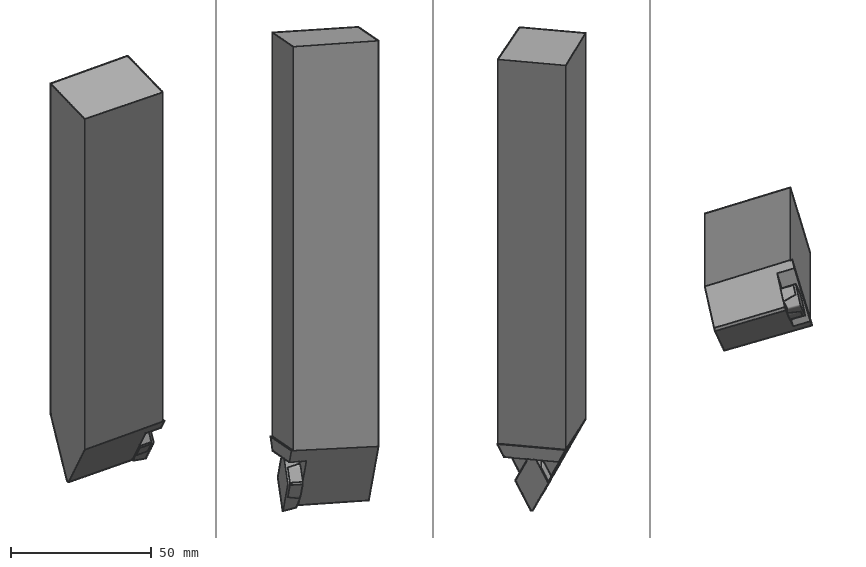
import cadquery as cq
import math

TOTAL_LENGTH = 171.4
BACK_WIDTH = 24.8
SHANK_DEPTH = 31.9
LIP_RISE = 0.7
SIDE_DRAFT = 0.6

POINT_ANGLE = 55.0
HOLDER_TIP_Z = 1.9
HOLDER_TIP_WIDTH = 1.2

SEAT_DEPTH = 5.7
SEAT_TOP_Z = 19.9

INSERT_CORNER_RADIUS = 0.5
INSERT_HALF_LENGTH = 11.7
INSERT_CLEARANCE = 5.0
LAND_DEPTH = 0.9
LAND_HALF_WIDTH = 5.8
LAND_END_REACH = 8.5
NOSE_RELIEF_LENGTH = 5.5
NOSE_RELIEF_DEPTH = 1.0

half_point = math.radians(POINT_ANGLE / 2)
point_slope = math.tan(half_point)
corner_overshoot = 1 / math.sin(half_point) - 1
half_back = BACK_WIDTH / 2
total_depth = SHANK_DEPTH + LIP_RISE
half_front = half_back - total_depth * math.tan(math.radians(SIDE_DRAFT))
half_tip = HOLDER_TIP_WIDTH / 2
shoulder_z = HOLDER_TIP_Z + (half_back - half_tip) / point_slope
insert_corner_z = -INSERT_CORNER_RADIUS * corner_overshoot
insert_centre_z = insert_corner_z + INSERT_HALF_LENGTH
insert_half_width = INSERT_HALF_LENGTH * point_slope


def box_between(x_range, y_range, z_range):
    """Box spanning the given (low, high) ranges."""
    low, high = zip(x_range, y_range, z_range)
    size = [b - a for a, b in zip(low, high)]
    return cq.Workplane("XY").box(*size, centered=False).translate(low)


def rhombus(y):
    """Sharp insert outline on the plane at the given y."""
    return (
        cq.Workplane("XZ", origin=(0, y, insert_centre_z))
        .moveTo(0, -INSERT_HALF_LENGTH)
        .lineTo(insert_half_width, 0)
        .lineTo(0, INSERT_HALF_LENGTH)
        .lineTo(-insert_half_width, 0)
        .close()
    )


def make_insert():
    body = rhombus(0).extrude(SEAT_DEPTH, taper=INSERT_CLEARANCE)
    body = body.edges("not #Y").fillet(INSERT_CORNER_RADIUS)

    ramp_start = LAND_END_REACH - LAND_HALF_WIDTH
    land_limits = (
        cq.Workplane("XZ", origin=(0, 0, insert_centre_z))
        .moveTo(0, -LAND_END_REACH)
        .lineTo(LAND_HALF_WIDTH, -ramp_start)
        .lineTo(LAND_HALF_WIDTH, ramp_start)
        .lineTo(0, LAND_END_REACH)
        .lineTo(-LAND_HALF_WIDTH, ramp_start)
        .lineTo(-LAND_HALF_WIDTH, -ramp_start)
        .close()
        .extrude(SEAT_DEPTH)
    )
    lands = rhombus(-LAND_DEPTH).extrude(SEAT_DEPTH - LAND_DEPTH).intersect(land_limits)
    body = body.union(lands)

    relief = (
        cq.Workplane("YZ", origin=(-insert_half_width, 0, 0))
        .moveTo(-SEAT_DEPTH, insert_corner_z + NOSE_RELIEF_LENGTH)
        .lineTo(-SEAT_DEPTH, insert_corner_z)
        .lineTo(-SEAT_DEPTH + NOSE_RELIEF_DEPTH, insert_corner_z)
        .close()
        .extrude(2 * insert_half_width)
    )
    upper_relief = relief.mirror("XY", (0, 0, insert_centre_z))
    return body.cut(relief).cut(upper_relief)


def make_holder(insert):
    bar = (
        cq.Workplane("XY")
        .moveTo(-half_back, LIP_RISE)
        .lineTo(half_back, LIP_RISE)
        .lineTo(half_front, -SHANK_DEPTH)
        .lineTo(-half_front, -SHANK_DEPTH)
        .close()
        .extrude(TOTAL_LENGTH)
    )
    point_profile = (
        cq.Workplane("XZ", origin=(0, LIP_RISE, 0))
        .moveTo(-half_tip, HOLDER_TIP_Z)
        .lineTo(half_tip, HOLDER_TIP_Z)
        .lineTo(half_back, shoulder_z)
        .lineTo(half_back, TOTAL_LENGTH)
        .lineTo(-half_back, TOTAL_LENGTH)
        .lineTo(-half_back, shoulder_z)
        .close()
        .extrude(total_depth)
    )
    holder = bar.intersect(point_profile)

    across = (-half_back, half_back)
    holder = holder.cut(box_between(across, (0, LIP_RISE), (shoulder_z, TOTAL_LENGTH)))

    holder = holder.cut(box_between(across, (-SEAT_DEPTH, LIP_RISE), (0, SEAT_TOP_Z)))
    return holder.cut(insert)


insert = make_insert()
holder = make_holder(insert)

result = cq.Compound.makeCompound([holder.solids().val(), insert.solids().val()])